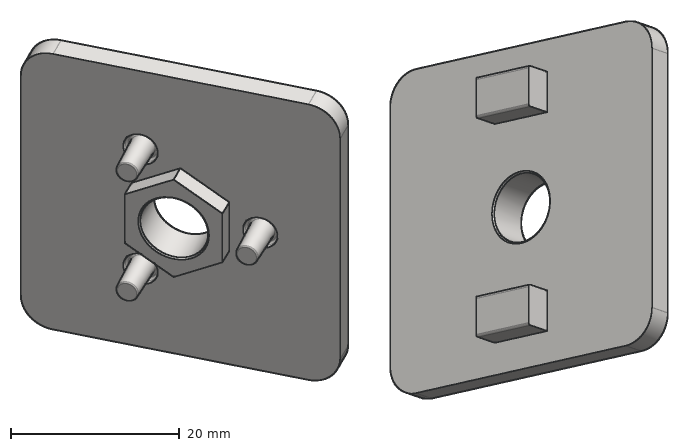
import cadquery as cq
import math

PLATE_SIDE = 40.0
PLATE_THICKNESS = 3.0
CORNER_RADIUS = 4.0

HEX_ACROSS_FLATS = 12.25
HEX_HEIGHT = 2.5
BORE_DIAMETER = 8.5
BORE_CHAMFER = 0.2

PIN_COUNT = 3
PIN_CIRCLE_RADIUS = 10.0
PIN_HEIGHT = 5.0
PIN_BASE_DIAMETER = 3.05
PIN_TIP_DIAMETER = 2.7
PIN_TIP_FILLET = 0.15
RECESS_DIAMETER = 4.3
RECESS_FLOOR_FILLET = 0.3
RECESS_DEPTH = 1.0

BLOCK_WIDTH = 8.0
BLOCK_HEIGHT = 5.0
BLOCK_DEPTH = 3.5
BLOCK_FILLET = 0.3
BLOCK_CENTER_Z = PLATE_SIDE / 2 - CORNER_RADIUS - BLOCK_HEIGHT / 2


def make_plate():
    plate = cq.Workplane("XZ").rect(PLATE_SIDE, PLATE_SIDE).extrude(-PLATE_THICKNESS)
    return plate.edges("|Y").fillet(CORNER_RADIUS)


def make_hex_boss():
    across_corners = HEX_ACROSS_FLATS / math.cos(math.pi / 6)
    boss = cq.Workplane("XZ").polygon(6, across_corners).extrude(HEX_HEIGHT)
    return boss.rotate((0, 0, 0), (0, 1, 0), 30)


def make_bore():
    radius = BORE_DIAMETER / 2
    profile = [
        (0, -HEX_HEIGHT),
        (radius + BORE_CHAMFER, -HEX_HEIGHT),
        (radius, BORE_CHAMFER - HEX_HEIGHT),
        (radius, PLATE_THICKNESS - BORE_CHAMFER),
        (radius + BORE_CHAMFER, PLATE_THICKNESS),
        (0, PLATE_THICKNESS),
    ]
    return cq.Workplane("XY").polyline(profile).close().revolve(360, (0, 0), (0, 1))


def make_pin_recess(x, z):
    recess = cq.Workplane("XZ").circle(RECESS_DIAMETER / 2).extrude(-RECESS_DEPTH)
    return recess.faces(">Y").edges().fillet(RECESS_FLOOR_FILLET).translate((x, 0, z))


def make_pin(x, z):
    taper = (PIN_BASE_DIAMETER - PIN_TIP_DIAMETER) / 2 / PIN_HEIGHT
    fillet_start = RECESS_DEPTH - RECESS_FLOOR_FILLET
    root_radius = PIN_BASE_DIAMETER / 2 + taper * fillet_start
    fillet_middle = RECESS_FLOOR_FILLET * (1 - math.sqrt(0.5))
    pin = (
        cq.Workplane("XY")
        .moveTo(0, RECESS_DEPTH)
        .lineTo(root_radius + RECESS_FLOOR_FILLET, RECESS_DEPTH)
        .threePointArc(
            (root_radius + fillet_middle, RECESS_DEPTH - fillet_middle),
            (root_radius, fillet_start),
        )
        .lineTo(PIN_TIP_DIAMETER / 2, -PIN_HEIGHT)
        .lineTo(0, -PIN_HEIGHT)
        .close()
        .revolve(360, (0, 0), (0, 1))
    )
    return pin.faces("<Y").edges().fillet(PIN_TIP_FILLET).translate((x, 0, z))


def make_block(z):
    block = cq.Workplane("XY").box(BLOCK_WIDTH, BLOCK_DEPTH, BLOCK_HEIGHT)
    block = block.faces(">Y").edges("|X").fillet(BLOCK_FILLET)
    return block.translate((0, PLATE_THICKNESS + BLOCK_DEPTH / 2, z))


result = make_plate().union(make_hex_boss()).cut(make_bore())

for index in range(PIN_COUNT):
    angle = 2 * math.pi * index / PIN_COUNT
    pin_x = PIN_CIRCLE_RADIUS * math.cos(angle)
    pin_z = PIN_CIRCLE_RADIUS * math.sin(angle)
    result = result.cut(make_pin_recess(pin_x, pin_z)).union(make_pin(pin_x, pin_z))

for side in (1, -1):
    result = result.union(make_block(side * BLOCK_CENTER_Z))